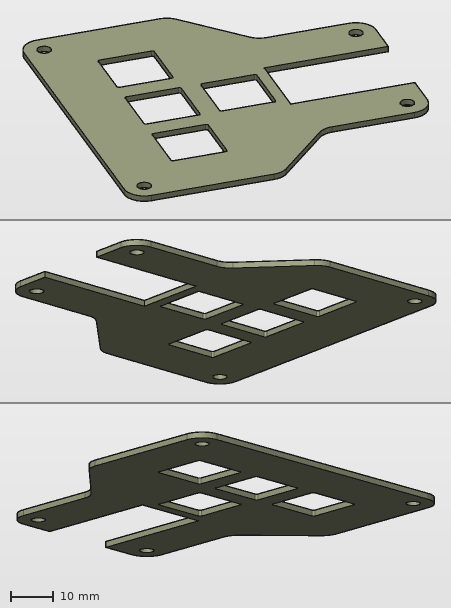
import cadquery as cq

body_width = 80.2
plate_length = 82.0
thickness = 1.5
stem_width = 46.1
shoulder_low = 37.9
shoulder_high = 54.2
corner_radius = 5.0

slot_width = 18.6
slot_depth = 31.1

window_size = 14.0
window_pitch = 18.95
window_corner_radius = 0.5
window_row_height = 22.1

hole_diameter = 3.4

bottom = -plate_length / 2
top = plate_length / 2
body_half = body_width / 2
stem_half = stem_width / 2


def make_blank():
    """Tapered plate with every outer corner rounded, before any cutting."""
    right_side = [
        (body_half, bottom),
        (body_half, bottom + shoulder_low),
        (stem_half, bottom + shoulder_high),
        (stem_half, top),
    ]
    left_side = [(-x, y) for x, y in reversed(right_side)]
    blank = cq.Workplane("XY").polyline(right_side + left_side).close().extrude(thickness)
    return blank.edges("|Z").fillet(corner_radius)


def make_slot():
    """Square-cornered slot, open at the +Y edge."""
    return (
        cq.Workplane("XY")
        .center(0, top - slot_depth / 2)
        .rect(slot_width, slot_depth)
        .extrude(thickness)
    )


def make_windows():
    """Four square cutters with slightly rounded corners."""
    row_y = bottom + window_row_height
    centres = [(column * window_pitch, row_y) for column in (-1, 0, 1)]
    centres.append((0, row_y + window_pitch))
    return (
        cq.Workplane("XY")
        .pushPoints(centres)
        .rect(window_size, window_size)
        .extrude(thickness)
        .edges("|Z")
        .fillet(window_corner_radius)
    )


def make_holes():
    """Four mounting hole cutters at the centres of the rounded corners."""
    centres = []
    for side in (-1, 1):
        centres.append((side * (body_half - corner_radius), bottom + corner_radius))
        centres.append((side * (stem_half - corner_radius), top - corner_radius))
    return cq.Workplane("XY").pushPoints(centres).circle(hole_diameter / 2).extrude(thickness)


result = make_blank().cut(make_slot()).cut(make_windows()).cut(make_holes())